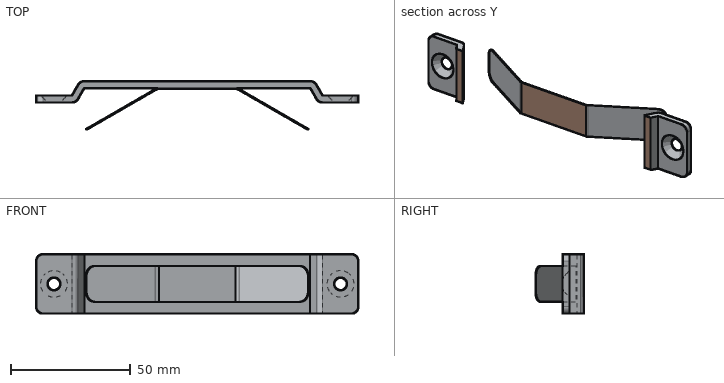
import cadquery as cq
import math

TOTAL_LENGTH = 135.0
STRIP_HEIGHT = 25.0
SHEET = 3.0
FOOT_LENGTH = 15.0
STEP = 6.0
STEP_ANGLE = math.radians(60)
FOOT_CORNER_RADIUS = 3.0
HOLE_DIAMETER = 5.2
COUNTERSINK_ANGLE = math.radians(90)

OVERALL_DEPTH = 20.35
SPRING_HEIGHT = 15.0
SPRING_SHEET = 0.3
SPRING_FLAT_LENGTH = 32.0
SPRING_BEND_RADIUS = 3.0
SPRING_ANGLE = math.radians(30)
SPRING_CORNER_RADIUS = 4.0

FOOT_BACK = SHEET
MIDDLE_FRONT = STEP
MIDDLE_BACK = STEP + SHEET


def on_arc(center, radius, angle):
    """Point on a right-hand bend, at an angle turned from +Y towards +X."""
    return (center[0] + radius * math.sin(angle), center[1] + radius * math.cos(angle))


def extrude_symmetric(half_profile, height):
    """Extrude the right half of an XY profile about Z = 0 and add its mirror image."""
    half = half_profile.extrude(height / 2, both=True)
    return half.union(half.mirror("YZ"), clean=True)


def make_bracket():
    half_length = TOTAL_LENGTH / 2
    lower_corner = (half_length - FOOT_LENGTH, FOOT_BACK)
    web_length = (STEP - SHEET + SHEET * math.cos(STEP_ANGLE)) / math.sin(STEP_ANGLE)
    web_run = SHEET * math.sin(STEP_ANGLE) + web_length * math.cos(STEP_ANGLE)
    upper_corner = (lower_corner[0] - web_run, MIDDLE_FRONT)

    profile = (
        cq.Workplane("XY")
        .moveTo(0, MIDDLE_FRONT)
        .lineTo(*upper_corner)
        .lineTo(*on_arc(lower_corner, -SHEET, STEP_ANGLE))
        .threePointArc(on_arc(lower_corner, -SHEET, STEP_ANGLE / 2), (lower_corner[0], 0))
        .lineTo(half_length, 0)
        .lineTo(half_length, FOOT_BACK)
        .lineTo(*lower_corner)
        .lineTo(*on_arc(upper_corner, SHEET, STEP_ANGLE))
        .threePointArc(on_arc(upper_corner, SHEET, STEP_ANGLE / 2), (upper_corner[0], MIDDLE_BACK))
        .lineTo(0, MIDDLE_BACK)
        .close()
    )
    bracket = extrude_symmetric(profile, STRIP_HEIGHT)
    bracket = bracket.edges("|Y and (<X or >X)").fillet(FOOT_CORNER_RADIUS)

    hole_x = half_length - FOOT_LENGTH / 2
    back_radius = HOLE_DIAMETER / 2 + SHEET * math.tan(COUNTERSINK_ANGLE / 2)
    for x in (-hole_x, hole_x):
        front_center = cq.Vector(x, 0, 0)
        hole = cq.Solid.makeCone(HOLE_DIAMETER / 2, back_radius, SHEET, front_center, cq.Vector(0, 1, 0))
        bracket = bracket.cut(hole)
    return bracket


def make_spring():
    outer_radius = SPRING_BEND_RADIUS + SPRING_SHEET
    bend_start = SPRING_FLAT_LENGTH / 2
    bend_center = (bend_start, MIDDLE_FRONT - outer_radius)
    spring_front = MIDDLE_FRONT - SPRING_SHEET

    inner_end = on_arc(bend_center, SPRING_BEND_RADIUS, SPRING_ANGLE)
    outer_end = on_arc(bend_center, outer_radius, SPRING_ANGLE)
    tip_drop = inner_end[1] - (MIDDLE_BACK - OVERALL_DEPTH)
    tip_run = tip_drop / math.tan(SPRING_ANGLE)

    profile = (
        cq.Workplane("XY")
        .moveTo(0, spring_front)
        .lineTo(bend_start, spring_front)
        .threePointArc(on_arc(bend_center, SPRING_BEND_RADIUS, SPRING_ANGLE / 2), inner_end)
        .lineTo(inner_end[0] + tip_run, inner_end[1] - tip_drop)
        .lineTo(outer_end[0] + tip_run, outer_end[1] - tip_drop)
        .lineTo(*outer_end)
        .threePointArc(on_arc(bend_center, outer_radius, SPRING_ANGLE / 2), (bend_start, MIDDLE_FRONT))
        .lineTo(0, MIDDLE_FRONT)
        .close()
    )
    spring = extrude_symmetric(profile, SPRING_HEIGHT)
    for side in (-1, 1):
        across_sheet = cq.Vector(side * math.sin(SPRING_ANGLE), math.cos(SPRING_ANGLE), 0)
        tip_corners = spring.edges(cq.selectors.ParallelDirSelector(across_sheet))
        spring = tip_corners.fillet(SPRING_CORNER_RADIUS)
    return spring


result = make_bracket().union(make_spring())